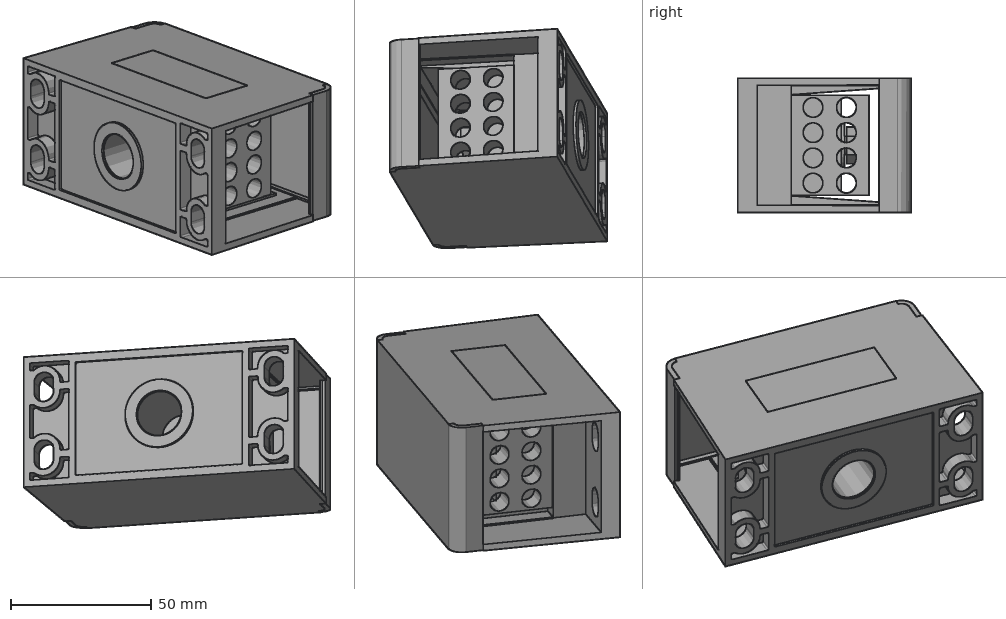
import cadquery as cq

LENGTH = 100.0
DEPTH = 62.0
HEIGHT = 48.0
FRONT_Y = -DEPTH / 2
BACK_Y = DEPTH / 2
SEAM_Y = 19.6
BODY_END_LENGTH = 96.6
CAP_LENGTH = 96.0
CAP_RADIUS = 5.0
CAP_WALL = 2.0
TONGUE_X = (46.2, 46.9)
TONGUE_HEIGHT = 0.3

BASE_TOP_Y = -24.0
PLINTH_TOP_Y = -11.8
CAVITY_HEIGHT = 43.2
BASE_CAVITY_HEIGHT = 42.8
PLINTH_X = 31.0
FLOOR_STEPS = ((31.5, 42.8), (30.8, 42.4))
LEDGE_HEIGHT = 41.6
LEDGE_Y = 27.0

INLAY_DEPTH = 0.1
LABEL_LENGTH = 50.0
LABEL_WIDTH = 20.0
LABEL_Y = -1.1
RIM_END_X = 43.0

SLOT_X = 42.5
SLOT_Z = 12.5
SLOT_WIDTH = 7.1
SLOT_HEIGHT = 10.7
SLOT_WALL = 2.4
POCKET_X = (33.2, 47.7)
POCKET_HEIGHT = 43.2
POCKET_DEPTH = 5.0
WEB_THICKNESS = 2.6
SLOT_PAD_HEIGHT = 12.7
CORNER_RADIUS = 0.6
PANEL_LENGTH = 61.8
PANEL_HEIGHT = 41.8
PANEL_DEPTH = 1.0
RING_RADIUS = 12.5
BORE_RADIUS = 8.1
BORE_MOUTH_RADIUS = 8.3
BORE_MOUTH_DEPTH = 0.8

CORE_X = 24.8
CORE_HEIGHT = 35.6
CORE_TOP_Y = 6.0
BORE_END_Y = 4.0
FLANGE_RADIUS = 9.0
FLANGE_TOP_Y = 7.2
BOLT_RADIUS = 3.3
BOLT_TIP_Y = 2.0
HEAD_RADIUS = 6.6
HEAD_BOTTOM_Y = 7.9
HEAD_TOP_Y = 12.0
TERMINAL_X = (20.0, 29.8)
TERMINAL_TOP_Y = 15.9
TERMINAL_HEIGHT = 35.8
WIRE_RADIUS = 3.5
WIRE_PITCH = 9.0
WIRE_ROWS = 4
WIRE_Y = 7.8
SCREW_Y = -4.1
SCREW_HOLE_DEPTH = 8.0
RIB_END_Y = 23.0
RIB_END_Z = 20.5
RIB_BASE_Z = 18.0


def block(x0, x1, y0, y1, height):
    """Box between the given X and Y limits, centred on Z = 0."""
    return (
        cq.Workplane("XY")
        .box(x1 - x0, y1 - y0, height)
        .translate(((x0 + x1) / 2, (y0 + y1) / 2, 0))
    )


def rod(radius, y0, y1):
    """Cylinder on the Y axis."""
    return cq.Workplane("XZ", origin=(0, y0, 0)).circle(radius).extrude(y0 - y1)


def both_ends(shape):
    """The shape together with its mirror image at the opposite X end."""
    return shape.union(shape.mirror("YZ"))


def rounded_cap(half_length, back_y, radius, height):
    """Plate from the seam to back_y with its two back corners rounded."""
    plate = block(-half_length, half_length, SEAM_Y, back_y, height)
    return plate.edges("|Z and >Y").fillet(radius)


def outer_body():
    body = (
        cq.Workplane("XY", origin=(0, 0, -HEIGHT / 2))
        .polyline([
            (-LENGTH / 2, FRONT_Y),
            (LENGTH / 2, FRONT_Y),
            (BODY_END_LENGTH / 2, SEAM_Y),
            (-BODY_END_LENGTH / 2, SEAM_Y),
        ])
        .close()
        .extrude(HEIGHT)
    )
    return body.union(rounded_cap(CAP_LENGTH / 2, BACK_Y, CAP_RADIUS, HEIGHT))


def cap_inside(height):
    return rounded_cap(CAP_LENGTH / 2 - CAP_WALL, BACK_Y - CAP_WALL, CAP_RADIUS - CAP_WALL, height)


def cavity_liner(half_length, y0, height):
    """Two slabs that narrow the cavity to the given height, from y0 to the back."""
    limits = (-half_length, half_length, y0, BACK_Y)
    return block(*limits, HEIGHT).cut(block(*limits, height))


def cavity():
    """Slightly tapered hollow behind the base, open through both X ends."""
    hollow = (
        cq.Workplane("YZ", origin=(-LENGTH / 2, 0, 0))
        .polyline([
            (BASE_TOP_Y, -BASE_CAVITY_HEIGHT / 2),
            (BASE_TOP_Y, BASE_CAVITY_HEIGHT / 2),
            (BACK_Y, CAVITY_HEIGHT / 2),
            (BACK_Y, -CAVITY_HEIGHT / 2),
        ])
        .close()
        .extrude(LENGTH)
    )
    inside = block(-LENGTH / 2, LENGTH / 2, BASE_TOP_Y, SEAM_Y, HEIGHT)
    hollow = hollow.intersect(inside.union(cap_inside(HEIGHT)))
    hollow = hollow.cut(block(-PLINTH_X, PLINTH_X, BASE_TOP_Y, PLINTH_TOP_Y, HEIGHT))
    for half_length, height in FLOOR_STEPS:
        hollow = hollow.cut(cavity_liner(half_length, PLINTH_TOP_Y, height))
    return hollow.cut(cavity_liner(LENGTH / 2, LEDGE_Y, LEDGE_HEIGHT))


def cap_rim_inlay():
    """Shallow step around the cap corners, on the top and bottom faces."""
    rim = rounded_cap(CAP_LENGTH / 2, BACK_Y, CAP_RADIUS, HEIGHT).cut(cap_inside(HEIGHT))
    rim = rim.cut(block(-RIM_END_X, RIM_END_X, SEAM_Y, BACK_Y, HEIGHT))
    core = block(-LENGTH / 2, LENGTH / 2, SEAM_Y, BACK_Y, HEIGHT - 2 * INLAY_DEPTH)
    return rim.cut(core)


def label_inlay():
    return (
        cq.Workplane("XY", origin=(0, LABEL_Y, HEIGHT / 2))
        .rect(LABEL_LENGTH, LABEL_WIDTH)
        .extrude(-INLAY_DEPTH)
    )


def upright_slots(wall, depth):
    """Pair of upright slots at the +X end, grown by a wall, cut in from the front."""
    return (
        cq.Workplane("XZ", origin=(SLOT_X, FRONT_Y, 0))
        .pushPoints([(0, SLOT_Z), (0, -SLOT_Z)])
        .slot2D(SLOT_HEIGHT + 2 * wall, SLOT_WIDTH + 2 * wall, 90)
        .extrude(-depth)
    )


def lightening_pockets():
    """Pockets around the slot walls at the +X end."""
    inner_x, outer_x = POCKET_X
    end_y = FRONT_Y + POCKET_DEPTH
    pockets = block(inner_x, outer_x, FRONT_Y, end_y, POCKET_HEIGHT)
    pockets = pockets.cut(upright_slots(SLOT_WALL, POCKET_DEPTH))
    for z in (-SLOT_Z, SLOT_Z):
        web = block(inner_x, SLOT_X, FRONT_Y, end_y, WEB_THICKNESS)
        pad = block(SLOT_X, outer_x, FRONT_Y, end_y, SLOT_PAD_HEIGHT)
        pockets = pockets.cut(web.union(pad).translate((0, 0, z)))
    return pockets.edges("|Y").fillet(CORNER_RADIUS)


def front_panel_recess():
    end_y = FRONT_Y + PANEL_DEPTH
    panel = block(-PANEL_LENGTH / 2, PANEL_LENGTH / 2, FRONT_Y, end_y, PANEL_HEIGHT)
    return panel.edges("|Y").fillet(CORNER_RADIUS).cut(rod(RING_RADIUS, FRONT_Y, end_y))


def clamp_bolt():
    """Bolt on the bore axis with a round flange and a hexagonal head."""
    shank = rod(BOLT_RADIUS, BOLT_TIP_Y, HEAD_TOP_Y)
    flange = rod(FLANGE_RADIUS, BORE_END_Y, FLANGE_TOP_Y)
    head = (
        cq.Workplane("XZ", origin=(0, HEAD_BOTTOM_Y, 0))
        .transformed(rotate=(0, 0, 90))
        .polygon(6, 2 * HEAD_RADIUS)
        .extrude(HEAD_BOTTOM_Y - HEAD_TOP_Y)
    )
    return shank.union(flange).union(head)


def terminal():
    """Terminal block at the +X end, with through wire holes and blind screw holes."""
    inner_x, outer_x = TERMINAL_X
    body = block(inner_x, outer_x, PLINTH_TOP_Y, TERMINAL_TOP_Y, TERMINAL_HEIGHT)
    for y, depth in ((WIRE_Y, outer_x - inner_x), (SCREW_Y, SCREW_HOLE_DEPTH)):
        holes = (
            cq.Workplane("YZ", origin=(outer_x, y, 0))
            .rarray(1, WIRE_PITCH, 1, WIRE_ROWS)
            .circle(WIRE_RADIUS)
            .extrude(-depth)
        )
        body = body.cut(holes)
    return body


def wall_rib():
    """Tapered rib along the top wall, thinning toward the back."""
    wall_z = CAVITY_HEIGHT / 2
    return (
        cq.Workplane("YZ", origin=(-CORE_X, 0, 0))
        .polyline([
            (PLINTH_TOP_Y, wall_z),
            (PLINTH_TOP_Y, RIB_BASE_Z),
            (RIB_END_Y, RIB_END_Z),
            (RIB_END_Y, wall_z),
        ])
        .close()
        .extrude(2 * CORE_X)
    )


def inner_block():
    """Block on the plinth that carries the bolt, cut away where the terminals sit."""
    core = block(-CORE_X, CORE_X, PLINTH_TOP_Y, CORE_TOP_Y, CORE_HEIGHT)
    seat = block(*TERMINAL_X, PLINTH_TOP_Y, CORE_TOP_Y, TERMINAL_HEIGHT)
    return core.cut(both_ends(seat))


def stepped_bore():
    bore = rod(BORE_RADIUS, FRONT_Y, BORE_END_Y)
    return bore.union(rod(BORE_MOUTH_RADIUS, FRONT_Y, FRONT_Y + BORE_MOUTH_DEPTH))


housing = outer_body().cut(cavity()).cut(cap_rim_inlay()).cut(label_inlay())
tongue = block(*TONGUE_X, SEAM_Y - TONGUE_HEIGHT, SEAM_Y, CAVITY_HEIGHT)
housing = housing.union(both_ends(tongue))

rib = wall_rib()
housing = housing.union(inner_block()).union(rib).union(rib.mirror("XY"))
housing = housing.union(both_ends(terminal()))

housing = housing.cut(both_ends(upright_slots(0, BASE_TOP_Y - FRONT_Y)))
housing = housing.cut(both_ends(lightening_pockets()))
housing = housing.cut(front_panel_recess()).cut(stepped_bore())

result = housing.union(clamp_bolt())